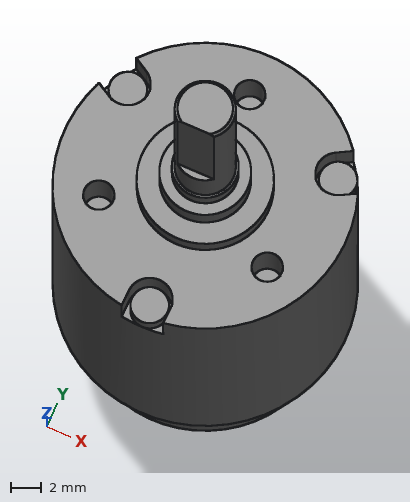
import cadquery as cq

base_diameter = 16.5
rim_diameter = 17.5
body_diameter = 20.0
pilot_diameter = 9.0
bearing_diameter = 6.0
collar_diameter = 4.4
shaft_diameter = 4.0

rim_bottom = 2.87
rim_top = 4.85
body_bottom = 5.5
body_top = 23.5
pilot_top = 24.65
bearing_top = 26.05
collar_top = 27.05
shaft_top = 37.8

rim_chamfer_height = 0.35
rim_chamfer_width = (rim_diameter - base_diameter) / 2
shaft_chamfer = 0.2

flat_length = 8.0
flat_offset = 1.5

feature_count = 3
hole_diameter = 2.05
hole_circle_radius = 7.0
hole_depth = 3.0
slot_width = 3.0
slot_depth = 2.05
screw_diameter = 2.55
screw_height = 0.95
screw_circle_radius = (body_diameter - screw_diameter) / 2


def cylinder(diameter, bottom, top):
    """Cylinder on the Z axis between two heights."""
    return cq.Workplane("XY").workplane(offset=bottom).circle(diameter / 2).extrude(top - bottom)


def angles_from(start_angle):
    """Evenly spaced angles around the axis, in degrees."""
    return [start_angle + i * 360 / feature_count for i in range(feature_count)]


def make_rim():
    """Rim with a chamfer tapering down to the base diameter."""
    rim = cylinder(rim_diameter, rim_bottom, rim_top)
    return rim.faces("<Z").chamfer(rim_chamfer_height, rim_chamfer_width)


def make_shaft():
    """Output shaft with a chamfered tip and a flat facing -Y."""
    shaft = cylinder(shaft_diameter, collar_top, shaft_top).faces(">Z").chamfer(shaft_chamfer)
    flat_cut = cq.Workplane("XY").box(
        shaft_diameter, shaft_diameter, flat_length, centered=(True, False, False)
    )
    flat_cut = flat_cut.translate((0, -flat_offset - shaft_diameter, shaft_top - flat_length))
    return shaft.cut(flat_cut)


def make_slot(angle):
    """Round-ended cut, open at the outer wall, in the +X direction turned by the angle."""
    slot_floor = body_top - slot_depth
    slot_end = cylinder(slot_width, slot_floor, body_top).translate((screw_circle_radius, 0, 0))
    opening = cq.Workplane("XY").box(slot_width, slot_width, slot_depth, centered=(False, True, False))
    opening = opening.translate((screw_circle_radius, 0, slot_floor))
    return slot_end.union(opening).rotate((0, 0, 0), (0, 0, 1), angle)


def make_screw(angle):
    """Screw head standing on the floor of a slot."""
    slot_floor = body_top - slot_depth
    screw = cylinder(screw_diameter, slot_floor, slot_floor + screw_height)
    return screw.translate((screw_circle_radius, 0, 0)).rotate((0, 0, 0), (0, 0, 1), angle)


def make_hole(angle):
    """Blind mounting hole in the top of the body."""
    hole = cylinder(hole_diameter, body_top - hole_depth, body_top)
    return hole.translate((hole_circle_radius, 0, 0)).rotate((0, 0, 0), (0, 0, 1), angle)


result = cylinder(base_diameter, 0, body_bottom)
result = result.union(make_rim())
result = result.union(cylinder(body_diameter, body_bottom, body_top))

for angle in angles_from(-90):
    result = result.cut(make_slot(angle))
    result = result.union(make_screw(angle))

for angle in angles_from(90):
    result = result.cut(make_hole(angle))

result = result.union(cylinder(pilot_diameter, body_top, pilot_top))
result = result.union(cylinder(bearing_diameter, pilot_top, bearing_top))
result = result.union(cylinder(collar_diameter, bearing_top, collar_top))
result = result.union(make_shaft())